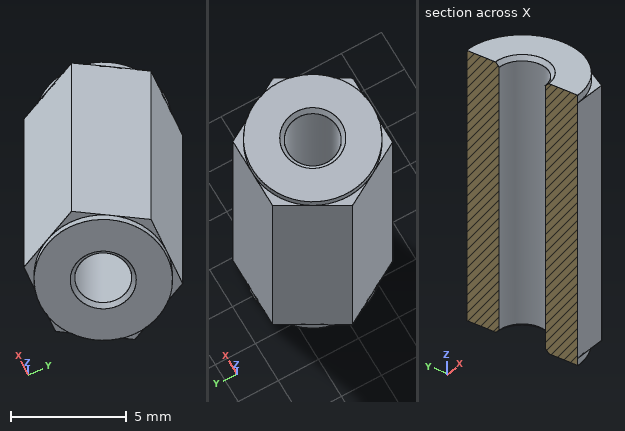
import cadquery as cq
import math

hex_sides = 6
across_flats = 6.0
total_height = 14.0
collar_height = 0.4
collar_diameter = across_flats
bore_diameter = 2.46
countersink_diameter = 2.86

across_corners = across_flats / math.cos(math.pi / hex_sides)
hex_height = total_height - 2 * collar_height
countersink_depth = (countersink_diameter - bore_diameter) / 2


def hex_body():
    """Hexagonal middle section with corners on the X axis."""
    return (
        cq.Workplane("XY")
        .workplane(offset=collar_height)
        .polygon(hex_sides, across_corners)
        .extrude(hex_height)
    )


def round_core():
    """Full-height cylinder whose ends stand out of the hexagon as collars."""
    return cq.Workplane("XY").circle(collar_diameter / 2).extrude(total_height)


def bore():
    """Through hole running along Z."""
    return cq.Workplane("XY").circle(bore_diameter / 2).extrude(total_height)


def countersink(face_height, inward):
    """Conical lead-in that narrows from an end face; inward is +1 or -1 along Z."""
    return cq.Workplane(
        cq.Solid.makeCone(
            countersink_diameter / 2,
            bore_diameter / 2,
            countersink_depth,
            pnt=cq.Vector(0, 0, face_height),
            dir=cq.Vector(0, 0, inward),
        )
    )


result = hex_body().union(round_core()).cut(bore())
for face_height, inward in ((0, 1), (total_height, -1)):
    result = result.cut(countersink(face_height, inward))